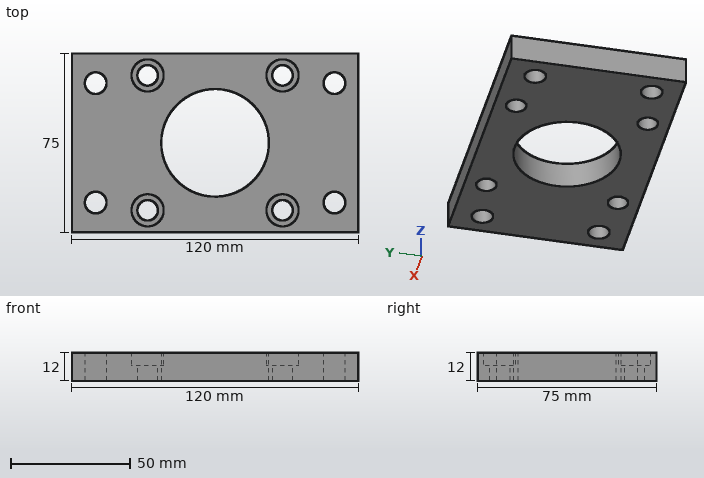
import cadquery as cq

plate_length = 120.0
plate_width = 75.0
plate_thickness = 12.0

bore_diameter = 45.0

mount_spacing_x = 100.0
mount_spacing_y = 50.0
mount_diameter = 9.0

screw_spacing = 56.5
screw_diameter = 8.5
counterbore_diameter = 13.5
counterbore_depth = 5.5


def make_plate():
    """Rectangular plate centred on the origin in X and Y, resting on Z = 0."""
    return cq.Workplane("XY").box(
        plate_length, plate_width, plate_thickness, centered=(True, True, False)
    )


def cut_bore(body):
    """Cut the central through bore."""
    return body.faces(">Z").workplane(origin=(0, 0, 0)).hole(bore_diameter)


def cut_mounting_holes(body):
    """Drill one plain through hole at each corner of the mounting rectangle."""
    top = body.faces(">Z").workplane(origin=(0, 0, 0))
    return top.rarray(mount_spacing_x, mount_spacing_y, 2, 2).hole(mount_diameter)


def cut_screw_holes(body):
    """Drill the four screw holes, counterbored from the top face."""
    top = body.faces(">Z").workplane(origin=(0, 0, 0))
    corners = top.rarray(screw_spacing, screw_spacing, 2, 2)
    return corners.cboreHole(screw_diameter, counterbore_diameter, counterbore_depth)


result = cut_screw_holes(cut_mounting_holes(cut_bore(make_plate())))